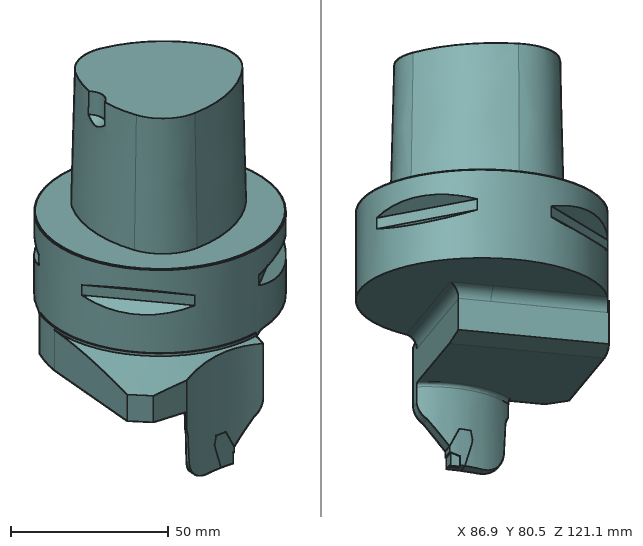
import cadquery as cq
import math

SHANK_HEIGHT = 48.0
TOOL_LENGTH = 121.1
TIP_Z = SHANK_HEIGHT - TOOL_LENGTH

LOBE_REACH = 29.5
FLANK_REACH = 25.5
LOBE_CENTER = 12.6
TAPER_ANGLE = math.degrees(math.atan(1 / 40))

NOTCH_RADIUS = 5.7
NOTCH_Y = -27.6
NOTCH_DEPTH = 8.4
NOTCH_CONE_HEIGHT = 4.2

FLANGE_DIAMETER = 80.0
FLANGE_RADIUS = FLANGE_DIAMETER / 2
FLANGE_HEIGHT = 30.0
FLANGE_CHAMFER = 0.4
GROOVE_Z = -12.0
GROOVE_FLOOR_DISTANCE = 35.6
GROOVE_FLOOR_HEIGHT = 3.6
GROOVE_WALL_ANGLE = 32.0
GROOVE_COUNT = 4

ARM_LEFT = -10.5
ARM_BACK = 10.7
ARM_RIGHT = FLANGE_RADIUS + 6.9
ARM_ROUND_RADIUS = 40.5
ARM_BOTTOM_Z = -45.5
ARM_CORNER_LENGTH = 5.3
ARM_CORNER_WIDTH = 6.4
ARM_ROOT_FILLET = 3.9
HEEL_RISE = 1.0
HEEL_END = -0.1
CONE_TOP_Z = -31.0
CONE_OUTER_RADIUS = 57.9
CONE_OUTER_Z = -36.0

CURVE_X = 88.5
CURVE_RADIUS = 46.7
BLADE_THICKNESS = 5.2
BULGE_RADIUS = 28.8
BLADE_FRONT = -21.9
BLADE_BOTTOM_Z = TIP_Z + 0.6
BLADE_FILLET = 1.2
BLADE_LEFT = CURVE_X - CURVE_RADIUS - BLADE_THICKNESS

EDGE_TOP_Z = TIP_Z + 4.5
EDGE_SLOPE_DROP = 1.0
EDGE_LENGTH = 1.5
EDGE_WIDTH = 3.0
EDGE_RELIEF = 0.2


def polar(radius, degrees):
    angle = math.radians(degrees)
    return radius * math.cos(angle), radius * math.sin(angle)


def make_shank():
    """Three lobe arcs joined tangentially by three flatter flank arcs, drawn in toward the top."""
    lobe_radius = LOBE_REACH - LOBE_CENTER
    reach_gap = LOBE_REACH - FLANK_REACH
    flank_center = (2 * reach_gap * LOBE_CENTER - reach_gap**2) / (LOBE_CENTER - 2 * reach_gap)
    flank_radius = FLANK_REACH + flank_center
    across = LOBE_CENTER * math.sin(math.radians(60))
    along = flank_center + LOBE_CENTER / 2
    spread = math.atan2(across, along)
    joint_across = flank_radius * math.sin(spread)
    joint_along = flank_radius * math.cos(spread) - flank_center
    joint_radius = math.hypot(joint_across, joint_along)
    joint_angle = math.degrees(math.atan2(joint_across, joint_along))

    outline = cq.Workplane("XY").moveTo(*polar(joint_radius, -90 - joint_angle))
    for flank_angle in (-90, 30, 150):
        outline = outline.threePointArc(
            polar(FLANK_REACH, flank_angle), polar(joint_radius, flank_angle + joint_angle)
        )
        outline = outline.threePointArc(
            polar(LOBE_REACH, flank_angle + 60), polar(joint_radius, flank_angle + 120 - joint_angle)
        )
    return outline.close().extrude(SHANK_HEIGHT, taper=TAPER_ANGLE)


def make_notch():
    """Vertical drilled hole with a conical end, breaking out through the shank side."""
    shoulder_z = SHANK_HEIGHT - NOTCH_DEPTH
    return (
        cq.Workplane("XZ")
        .moveTo(0, SHANK_HEIGHT)
        .lineTo(NOTCH_RADIUS, SHANK_HEIGHT)
        .lineTo(NOTCH_RADIUS, shoulder_z)
        .lineTo(0, shoulder_z - NOTCH_CONE_HEIGHT)
        .close()
        .revolve(360, (0, 0), (0, 1))
        .translate((0, NOTCH_Y, 0))
    )


def make_groove(angle):
    """Straight groove with a flat floor and flared walls, cut across the flange rim."""
    reach = FLANGE_RADIUS - GROOVE_FLOOR_DISTANCE + 1.2
    floor_half = GROOVE_FLOOR_HEIGHT / 2
    mouth_half = floor_half + reach * math.tan(math.radians(GROOVE_WALL_ANGLE))
    mouth_x = GROOVE_FLOOR_DISTANCE + reach
    return (
        cq.Workplane("XZ")
        .polyline([
            (GROOVE_FLOOR_DISTANCE, GROOVE_Z - floor_half),
            (GROOVE_FLOOR_DISTANCE, GROOVE_Z + floor_half),
            (mouth_x, GROOVE_Z + mouth_half),
            (mouth_x, GROOVE_Z - mouth_half),
        ])
        .close()
        .extrude(FLANGE_RADIUS, both=True)
        .rotate((0, 0, 0), (0, 0, 1), angle)
    )


def make_flange():
    flange = cq.Workplane("XY").circle(FLANGE_RADIUS).extrude(-FLANGE_HEIGHT)
    flange = flange.faces(">Z").edges().chamfer(FLANGE_CHAMFER)
    for index in range(GROOVE_COUNT):
        flange = flange.cut(make_groove(45 + index * 360 / GROOVE_COUNT))
    return flange


def hollow_point(y):
    """Point at the given Y on the hollow +X face of the arm and blade."""
    return CURVE_X - math.sqrt(CURVE_RADIUS**2 - y**2), y


def bulge_point(y):
    """Point at the given Y on the bulging -X face of the blade."""
    return BLADE_LEFT + BULGE_RADIUS - math.sqrt(BULGE_RADIUS**2 - y**2), y


def make_arm():
    """Offset plate with a hollow +X side, a conical top and a sloping heel."""
    heel_y = -math.sqrt(ARM_ROUND_RADIUS**2 - ARM_LEFT**2)
    hollow_end_y = -math.sqrt(CURVE_RADIUS**2 - (CURVE_X - ARM_RIGHT) ** 2)
    plate = (
        cq.Workplane("XY", origin=(0, 0, ARM_BOTTOM_Z))
        .moveTo(ARM_LEFT, ARM_BACK)
        .lineTo(ARM_LEFT, heel_y)
        .threePointArc(
            polar(ARM_ROUND_RADIUS, (math.degrees(math.atan2(heel_y, ARM_LEFT)) - 90) / 2),
            (0, -ARM_ROUND_RADIUS),
        )
        .lineTo(ARM_RIGHT - ARM_CORNER_LENGTH, -ARM_ROUND_RADIUS)
        .lineTo(ARM_RIGHT, -ARM_ROUND_RADIUS + ARM_CORNER_WIDTH)
        .lineTo(ARM_RIGHT, hollow_end_y)
        .threePointArc(hollow_point(0), hollow_point(ARM_BACK))
        .close()
        .extrude(-FLANGE_HEIGHT - ARM_BOTTOM_Z)
    )
    cone = (
        cq.Workplane("XZ")
        .polyline([
            (0, -FLANGE_HEIGHT),
            (ARM_ROUND_RADIUS, -FLANGE_HEIGHT),
            (ARM_ROUND_RADIUS, CONE_TOP_Z),
            (CONE_OUTER_RADIUS, CONE_OUTER_Z),
            (CONE_OUTER_RADIUS + 1.2, CONE_OUTER_Z),
            (CONE_OUTER_RADIUS + 1.2, ARM_BOTTOM_Z),
            (0, ARM_BOTTOM_Z),
        ])
        .close()
        .revolve(360, (0, 0), (0, 1))
    )
    heel = (
        cq.Workplane("XZ")
        .polyline([
            (HEEL_END, ARM_BOTTOM_Z),
            (ARM_LEFT, ARM_BOTTOM_Z + HEEL_RISE),
            (2 * ARM_LEFT, ARM_BOTTOM_Z + HEEL_RISE),
            (2 * ARM_LEFT, ARM_BOTTOM_Z - 1.2),
            (HEEL_END, ARM_BOTTOM_Z - 1.2),
        ])
        .close()
        .extrude(2 * ARM_ROUND_RADIUS, both=True)
    )
    return plate.cut(heel).intersect(cone)


def make_arm_root():
    """Concave fillet under the flange along the arm's left and back faces, mitred at the corner."""
    left = ARM_LEFT - ARM_ROOT_FILLET
    back = ARM_BACK + ARM_ROOT_FILLET
    skirt = cq.Workplane("XY").box(
        FLANGE_RADIUS - left, FLANGE_RADIUS + back, ARM_ROOT_FILLET, centered=False
    )
    center_z = -FLANGE_HEIGHT - ARM_ROOT_FILLET
    skirt = skirt.translate((left, -FLANGE_RADIUS, center_z))
    left_hollow = (
        cq.Workplane("XZ")
        .center(left, center_z)
        .circle(ARM_ROOT_FILLET)
        .extrude(2 * FLANGE_RADIUS, both=True)
    )
    back_hollow = (
        cq.Workplane("YZ")
        .center(back, center_z)
        .circle(ARM_ROOT_FILLET)
        .extrude(2 * FLANGE_RADIUS, both=True)
    )
    under_flange = cq.Workplane("XY").circle(FLANGE_RADIUS).extrude(center_z)
    return skirt.cut(left_hollow).cut(back_hollow).intersect(under_flange)


def make_curved_wall():
    """Wall between the hollow and bulging faces, from the arm down to the tip."""
    return (
        cq.Workplane("XY", origin=(0, 0, ARM_BOTTOM_Z))
        .moveTo(*hollow_point(ARM_BACK))
        .threePointArc(hollow_point(0), hollow_point(BLADE_FRONT))
        .lineTo(*bulge_point(BLADE_FRONT))
        .threePointArc(bulge_point(0), bulge_point(ARM_BACK))
        .close()
        .extrude(TIP_Z - ARM_BOTTOM_Z)
    )


def make_blade():
    """Curved wall trimmed to a tapering side outline with a rounded lower front."""
    side = (
        cq.Workplane("YZ")
        .moveTo(ARM_BACK, ARM_BOTTOM_Z)
        .lineTo(ARM_BACK, -52.1)
        .threePointArc((9.9, -54.7), (7.5, -57.8))
        .lineTo(0.4, -66.6)
        .lineTo(-EDGE_WIDTH, BLADE_BOTTOM_Z)
        .lineTo(-11.1, BLADE_BOTTOM_Z)
        .threePointArc((-17.2, -69.9), (-19.9, -64.4))
        .lineTo(-20.5, -55.3)
        .threePointArc((-20.8, -53.2), (BLADE_FRONT, -51.2))
        .lineTo(BLADE_FRONT, ARM_BOTTOM_Z)
        .close()
        .extrude(ARM_RIGHT)
    )
    return make_curved_wall().intersect(side)


def make_insert_outline():
    """Slanted insert body with the square cutting edge at its lower back corner."""
    return (
        cq.Workplane("YZ")
        .polyline([
            (-2.9, -60.3),
            (-6.9, -60.3),
            (-7.5, -63.3),
            (-7.3, -64.7),
            (-4.8, BLADE_BOTTOM_Z),
            (0, BLADE_BOTTOM_Z),
            (0, EDGE_TOP_Z),
            (0.4, EDGE_TOP_Z),
            (0.4, -66.6),
        ])
        .close()
        .extrude(2 * CURVE_RADIUS)
    )


def make_insert():
    wall = make_curved_wall()
    body = wall.intersect(make_insert_outline())
    edge = (
        cq.Workplane("YZ", origin=(BLADE_LEFT - EDGE_RELIEF, 0, 0))
        .polyline([
            (0, EDGE_TOP_Z),
            (-EDGE_WIDTH, EDGE_TOP_Z - EDGE_SLOPE_DROP),
            (-EDGE_WIDTH, TIP_Z),
            (0, TIP_Z),
        ])
        .close()
        .extrude(EDGE_LENGTH)
    )
    return body.union(edge)


def make_holder():
    holder = make_shank().cut(make_notch()).union(make_flange()).union(make_arm()).union(make_arm_root())
    holder = holder.union(make_blade())
    blade_root = cq.selectors.BoxSelector(
        (BLADE_LEFT - 1.2, BLADE_FRONT - 1.2, ARM_BOTTOM_Z - 0.1),
        (ARM_RIGHT - 0.6, ARM_BACK - 1.2, ARM_BOTTOM_Z + 0.1),
    )
    holder = holder.edges(blade_root).fillet(BLADE_FILLET)

    return holder.cut(make_insert_outline()).cut(make_insert())


holder = make_holder()
insert = make_insert()
result = cq.Compound.makeCompound([holder.val(), insert.val()])